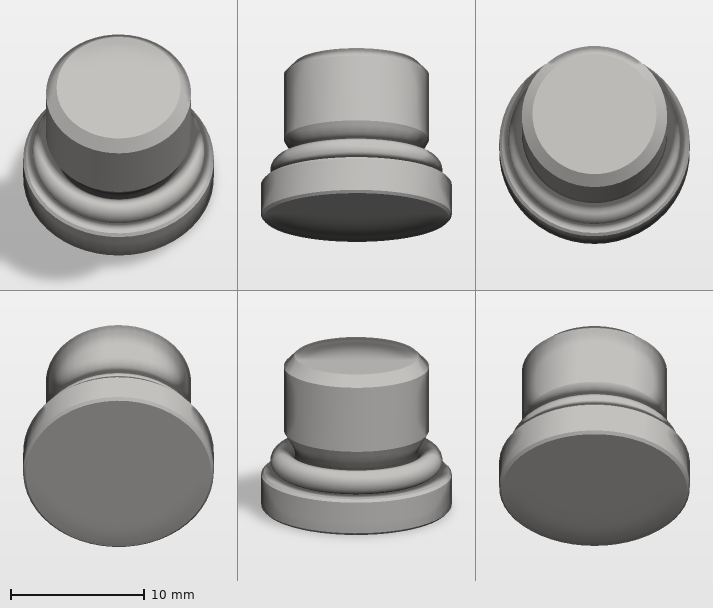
import cadquery as cq
import math

flange_diameter = 14.3
flange_height = 2.8
flange_chamfer = 0.2

plug_diameter = 10.9
plug_height = 11.9
plug_chamfer = 0.8
plug_lower_edge_z = 6.06

neck_diameter = 9.25
cone_angle = 30.0
neck_fillet = 1.0

ring_section_diameter = 1.79
ring_inner_diameter = 9.32


def make_plug():
    flange_radius = flange_diameter / 2
    plug_radius = plug_diameter / 2
    neck_radius = neck_diameter / 2
    angle = math.radians(cone_angle)

    cone_start_radius = neck_radius + neck_fillet * (1 - math.cos(angle))
    cone_start_z = plug_lower_edge_z - (plug_radius - cone_start_radius) / math.tan(angle)
    fillet_start_z = cone_start_z - neck_fillet * math.sin(angle)
    fillet_middle = (
        neck_radius + neck_fillet * (1 - math.cos(angle / 2)),
        fillet_start_z + neck_fillet * math.sin(angle / 2),
    )

    return (
        cq.Workplane("XZ")
        .lineTo(flange_radius - flange_chamfer, 0)
        .lineTo(flange_radius, flange_chamfer)
        .lineTo(flange_radius, flange_height - flange_chamfer)
        .lineTo(flange_radius - flange_chamfer, flange_height)
        .lineTo(neck_radius, flange_height)
        .lineTo(neck_radius, fillet_start_z)
        .threePointArc(fillet_middle, (cone_start_radius, cone_start_z))
        .lineTo(plug_radius, plug_lower_edge_z)
        .lineTo(plug_radius, plug_height - plug_chamfer)
        .lineTo(plug_radius - plug_chamfer, plug_height)
        .lineTo(0, plug_height)
        .close()
        .revolve(360, (0, 0, 0), (0, 1, 0))
    )


def make_sealing_ring():
    section_radius = ring_section_diameter / 2
    centre_radius = ring_inner_diameter / 2 + section_radius
    return (
        cq.Workplane("XZ")
        .center(centre_radius, flange_height + section_radius)
        .circle(section_radius)
        .revolve(360, (-centre_radius, 0, 0), (-centre_radius, 1, 0))
    )


plug = make_plug()
sealing_ring = make_sealing_ring()

result = cq.Compound.makeCompound([plug.val(), sealing_ring.val()])